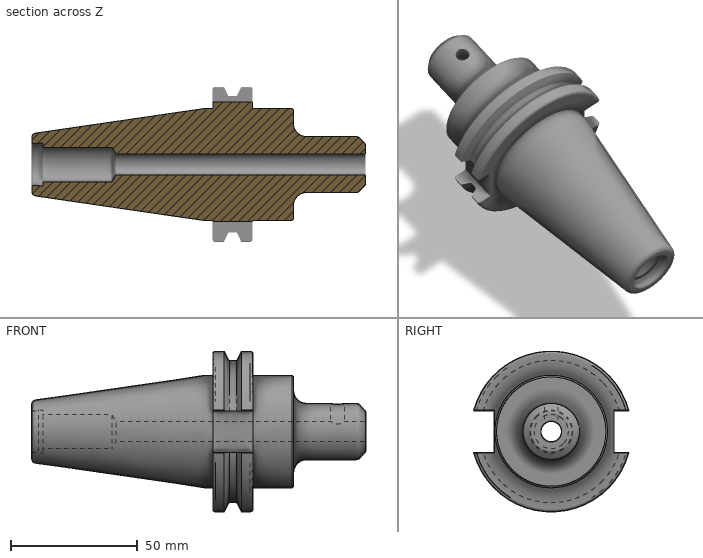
import cadquery as cq
import math

total_length = 131.8
gauge_x = 68.2
gauge_to_flange = 3.2
flange_start_x = gauge_x + gauge_to_flange
flange_width = 15.8
flange_end_x = flange_start_x + flange_width
body_end_x = 103.3

body_radius = 44.4 / 2
taper_slope = 7 / 48
shank_end_radius = body_radius - taper_slope * gauge_x
shank_rounding = 2.0

flange_radius = 63.4 / 2
flange_rounding = 1.0
groove_floor_radius = 28.0
groove_floor_width = 3.3
groove_mouth_width = 6.9
groove_corner_fillet = 0.4
groove_center_x = flange_start_x + flange_width / 2

slot_width = 16.3
slot_floor_y = (-22.5, 24.8)
slot_edge_chamfer = 0.3

body_chamfer = 0.7
spigot_radius = 22.3 / 2
spigot_root_fillet = 5.0
nose_length = 3.0
nose_drop = 3.2
nose_rounding = 1.8

through_radius = 8.0 / 2
thread_radius = 13.5 / 2
pilot_radius = 16.3 / 2
mouth_rounding = 0.8
relief_radius = 16.9 / 2
relief_start_x = 2.6
relief_corner_radius = 0.3
pilot_depth = 4.5
thread_depth = 31.6
drill_tip_angle = 118.0

cross_hole_radius = 5.4 / 2
cross_hole_x = 120.5

clearance = 1.3


def revolve(outline):
    """Turn a closed (x, radius) outline around the X axis."""
    return outline.close().revolve(360, (0, 0, 0), (1, 0, 0))


def disc(start_x, end_x, radius):
    """Cylinder along the X axis."""
    return cq.Workplane("YZ", origin=(start_x, 0, 0)).circle(radius).extrude(end_x - start_x)


def make_shank():
    outline = cq.Workplane("XY").polyline([
        (0, 0),
        (0, shank_end_radius),
        (gauge_x, body_radius),
        (flange_start_x, body_radius),
        (flange_start_x, 0),
    ])
    return revolve(outline).faces("<X").edges().fillet(shank_rounding)


def cut_drive_slot(flange, floor_y):
    """Cut one slot through the flange and break the edges of its two walls."""
    side = math.copysign(1, floor_y)
    outer_y = side * (flange_radius + clearance)
    depth = abs(outer_y - floor_y)
    slot = cq.Workplane("XY").box(flange_width, depth, slot_width)
    flange = flange.cut(slot.translate((groove_center_x, (floor_y + outer_y) / 2, 0)))

    gap = 0.01
    edge_z = slot_width / 2 + gap
    wall_edges = cq.selectors.BoxSelector(
        (flange_start_x - gap, floor_y + side * gap, -edge_z),
        (flange_end_x + gap, outer_y, edge_z),
    )
    return flange.edges(wall_edges).chamfer(slot_edge_chamfer)


def make_groove_cutter():
    half_floor = groove_floor_width / 2
    half_mouth = groove_mouth_width / 2
    top_radius = flange_radius + clearance
    outline = cq.Workplane("XY").polyline([
        (groove_center_x - half_mouth, top_radius),
        (groove_center_x - half_mouth, flange_radius),
        (groove_center_x - half_floor, groove_floor_radius),
        (groove_center_x + half_floor, groove_floor_radius),
        (groove_center_x + half_mouth, flange_radius),
        (groove_center_x + half_mouth, top_radius),
    ])
    floor_edges = cq.selectors.RadiusNthSelector(0)
    return revolve(outline).edges(floor_edges).fillet(groove_corner_fillet)


def make_flange():
    flange = disc(flange_start_x, flange_end_x, flange_radius).edges().fillet(flange_rounding)
    for floor_y in slot_floor_y:
        flange = cut_drive_slot(flange, floor_y)
    return flange.cut(make_groove_cutter())


def make_body():
    body = disc(flange_end_x, body_end_x, body_radius)
    return body.faces(">X").edges().chamfer(body_chamfer)


def make_spigot():
    nose_x = total_length - nose_length
    outline = (
        cq.Workplane("XY")
        .moveTo(body_end_x, 0)
        .lineTo(body_end_x, spigot_radius + spigot_root_fillet)
        .radiusArc((body_end_x + spigot_root_fillet, spigot_radius), -spigot_root_fillet)
        .lineTo(nose_x, spigot_radius)
        .lineTo(total_length, spigot_radius - nose_drop)
        .lineTo(total_length, 0)
    )
    nose_edges = cq.selectors.BoxSelector(
        (nose_x - clearance, -flange_radius, -flange_radius),
        (total_length + clearance, flange_radius, flange_radius),
    )
    return revolve(outline).edges("%CIRCLE").edges(nose_edges).fillet(nose_rounding)


def make_bore_cutter():
    tip_slope = math.tan(math.radians(drill_tip_angle / 2))
    tip_length = (thread_radius - through_radius) / tip_slope
    outline = (
        cq.Workplane("XY")
        .lineTo(0, pilot_radius + mouth_rounding)
        .radiusArc((mouth_rounding, pilot_radius), -mouth_rounding)
        .lineTo(relief_start_x, pilot_radius)
        .lineTo(relief_start_x, relief_radius)
        .lineTo(pilot_depth - relief_corner_radius, relief_radius)
        .radiusArc((pilot_depth, relief_radius - relief_corner_radius), relief_corner_radius)
        .lineTo(pilot_depth, thread_radius)
        .lineTo(thread_depth, thread_radius)
        .lineTo(thread_depth + tip_length, through_radius)
        .lineTo(total_length, through_radius)
        .lineTo(total_length, 0)
    )
    return revolve(outline)


def make_cross_hole_cutter():
    hole = cq.Workplane("XY").center(cross_hole_x, 0).circle(cross_hole_radius)
    return hole.extrude(spigot_radius + clearance)


result = (
    make_shank()
    .union(make_flange())
    .union(make_body())
    .union(make_spigot())
    .cut(make_bore_cutter())
    .cut(make_cross_hole_cutter())
)